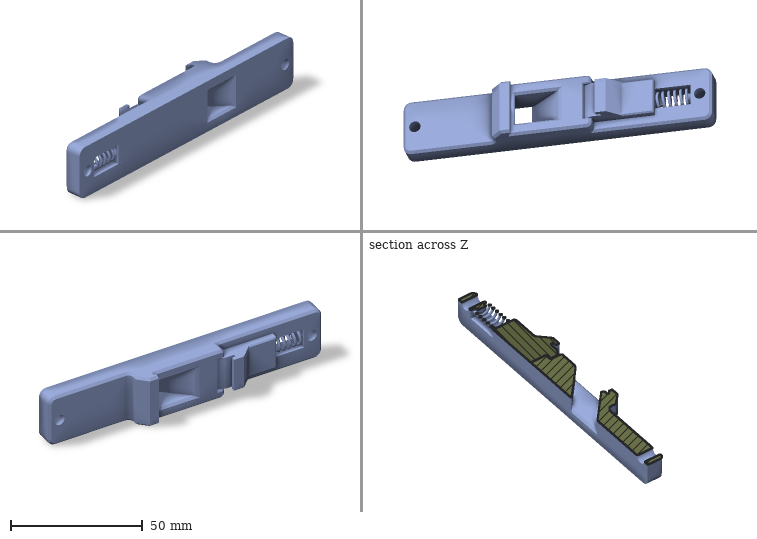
import cadquery as cq
import math


length = 121.0
width = 22.0
base_depth = 7.5
block_depth = 12.6
hook_depth = 15.5
corner_radius = 3.0
edge_chamfer = 1.0
step_radius = 2.0
block_end_y = -14.5
screw_hole_diameter = 4.5
screw_hole_y = 55.9

hook_back_y = 24.6
hook_tip_y = 16.7
hook_slope_depth = 11.5
hook_wall_y = 17.8
hook_lip_depth = 13.1
hook_lip_bevel = 0.8

window_width = 12.2
window_top_y = 15.5
window_bottom_y = -1.7
window_slope = 48.5
window_round = 1.0
window_bevel_length = 1.5
window_bevel_depth = 0.55

slider_width = 14.2
slot_width = 14.6
slot_end_y = -11.5
slot_chamfer = 0.5
slot_end_bevel_depth = 0.8
nose_y = -11.6
nose_depth = 11.3
slider_front_y = -14.9
slider_hook_tip_y = -16.7
slider_hook_wall_y = -18.4
slider_hook_lip_depth = 13.7
slider_hook_bevel = 0.4
slider_hook_back_y = -21.0
pad_depth = 10.5
pad_end_y = -38.5
pad_chamfer = 0.55

channel_width = 8.3
channel_end_y = -52.4
spring_center_depth = 4.2
spring_outer_diameter = 8.0
wire_diameter = 1.1
spring_near_y = -38.6
spring_far_y = -51.3
active_turns = 5
end_turns = 0.5
points_per_turn = 16
peg_diameter = 4.0
peg_length = 1.5


def prism(points, height):
    """Extrude an outline of (depth, y) points symmetrically about Z = 0."""
    outline = [(-depth, y) for depth, y in points]
    return cq.Workplane("XY").polyline(outline).close().extrude(height / 2, both=True)


def box(depth_from, depth_to, y_from, y_to, height):
    """Block between two depths and two Y positions, symmetric about Z = 0."""
    corners = [(depth_from, y_from), (depth_to, y_from), (depth_to, y_to), (depth_from, y_to)]
    return prism(corners, height)


def housing_blank():
    """Base bar, raised block and fixed hook, with rounded corners and chamfered front edges."""
    hook_rise = hook_depth - hook_slope_depth
    body = prism(
        [
            (0, length / 2),
            (base_depth, length / 2),
            (base_depth, hook_back_y),
            (hook_slope_depth, hook_back_y),
            (hook_depth, hook_back_y - hook_rise),
            (hook_depth, hook_tip_y),
            (hook_lip_depth + hook_lip_bevel, hook_tip_y),
            (hook_lip_depth, hook_wall_y),
            (block_depth, hook_wall_y),
            (block_depth, block_end_y),
            (base_depth, block_end_y),
            (base_depth, -length / 2),
            (0, -length / 2),
        ],
        width,
    )
    inner_corner = cq.selectors.NearestToPointSelector((-base_depth, hook_back_y, 0))
    body = body.edges(inner_corner).fillet(step_radius)
    body = body.faces("<Y or >Y").edges("|X").fillet(corner_radius)
    end_corner_depth = (base_depth + block_depth) / 2
    for side in (1, -1):
        end_corner = cq.selectors.NearestToPointSelector((-end_corner_depth, block_end_y, side * width / 2))
        body = body.edges(end_corner).fillet(step_radius)
    return body


def is_chamfered(edge):
    """Tell whether a housing edge borders the front outline, apart from the hook underside."""
    middle = edge.Center()
    tolerance = 0.001
    if edge.BoundingBox().zlen < tolerance and abs(middle.z) > width / 2 - tolerance:
        under_hook = hook_tip_y - tolerance < middle.y < hook_wall_y + tolerance
        return middle.x < -base_depth + tolerance and not under_hook
    on_base_end = abs(middle.x + base_depth) < tolerance and abs(middle.y) > length / 2 - corner_radius
    on_block_end = abs(middle.x + block_depth) < tolerance and middle.y < 0
    return on_base_end or on_block_end


def flared_prism(inner_width, flare):
    """Cutter running along Y from back to block front, its two sides opening at the front."""
    inner = inner_width / 2
    outer = inner + flare
    section = [
        (0, -inner),
        (flare - block_depth, -inner),
        (-block_depth, -outer),
        (-block_depth, outer),
        (flare - block_depth, inner),
        (0, inner),
    ]
    return cq.Workplane("XZ").polyline(section).close().extrude(length / 2, both=True)


def window():
    """Opening that slants toward +Y at the back, rounded at its +Y rim and beveled at its -Y rim."""
    slope = math.radians(window_slope)
    bevel_depth = block_depth - window_bevel_depth
    bottom_back_y = window_bottom_y + bevel_depth * math.tan(slope)

    round_depth = block_depth - window_round
    round_y = window_top_y + window_round
    wall_depth = round_depth - window_round * math.sin(slope)
    wall_y = round_y - window_round * math.cos(slope)
    top_back_y = wall_y + wall_depth * math.tan(slope)

    outline = (
        cq.Workplane("XY")
        .moveTo(0, bottom_back_y)
        .lineTo(-bevel_depth, window_bottom_y)
        .lineTo(-block_depth, window_bottom_y - window_bevel_length)
        .lineTo(-block_depth, round_y)
        .threePointArc((-round_depth, window_top_y), (-wall_depth, wall_y))
        .lineTo(0, top_back_y)
        .close()
    )
    channel = outline.extrude(width / 2, both=True)

    front_flared = flared_prism(window_width, edge_chamfer)
    back_flared = front_flared.rotate((-block_depth / 2, 0, 0), (-block_depth / 2, 0, 1), 180)
    return channel.intersect(front_flared.union(back_flared))


def nose_slot():
    """Pocket in the block end for the slider nose, chamfered around its mouth."""
    outline = prism(
        [
            (base_depth, block_end_y),
            (block_depth, block_end_y),
            (block_depth, slot_end_y + slot_chamfer),
            (block_depth - slot_end_bevel_depth, slot_end_y),
            (base_depth, slot_end_y),
        ],
        width,
    )
    return outline.intersect(flared_prism(slot_width, slot_chamfer))


def make_housing():
    blank = housing_blank()
    edges = [edge for edge in blank.edges().vals() if is_chamfered(edge)]
    body = blank.newObject(edges).chamfer(edge_chamfer)

    screw_holes = (
        cq.Workplane("YZ")
        .pushPoints([(screw_hole_y, 0), (-screw_hole_y, 0)])
        .circle(screw_hole_diameter / 2)
        .extrude(-base_depth)
    )
    spring_channel = box(0, base_depth, channel_end_y, block_end_y, channel_width)
    peg = (
        cq.Workplane("XZ", origin=(-spring_center_depth, channel_end_y, 0))
        .circle(peg_diameter / 2)
        .extrude(-peg_length)
    )
    return body.cut(window()).cut(screw_holes).cut(nose_slot()).cut(spring_channel).union(peg)


def make_slider():
    """Sliding hook on the base front, with a thumb pad and a tongue in the spring channel."""
    slope_end_y = slider_hook_back_y - (hook_depth - pad_depth)
    body = prism(
        [
            (base_depth, nose_y),
            (nose_depth, nose_y),
            (block_depth, slider_front_y),
            (block_depth, slider_hook_wall_y),
            (slider_hook_lip_depth, slider_hook_wall_y),
            (slider_hook_lip_depth, slider_hook_tip_y - slider_hook_bevel),
            (slider_hook_lip_depth + slider_hook_bevel, slider_hook_tip_y),
            (hook_depth, slider_hook_tip_y),
            (hook_depth, slider_hook_back_y),
            (pad_depth, slope_end_y),
            (pad_depth, pad_end_y),
            (base_depth, pad_end_y),
        ],
        slider_width,
    )
    pad_center = (-pad_depth, (slope_end_y + pad_end_y) / 2, 0)
    pad_face = body.faces(cq.selectors.NearestToPointSelector(pad_center))
    body = pad_face.edges("|Y or <Y").chamfer(pad_chamfer)
    tongue = box(0, base_depth, pad_end_y, block_end_y, channel_width)
    return body.union(tongue)


def spring_point(turn):
    """Point of the wire center line: the end turns are flat and the active turns advance evenly."""
    start_y = spring_near_y - wire_diameter / 2
    end_y = spring_far_y + wire_diameter / 2
    coil_radius = (spring_outer_diameter - wire_diameter) / 2
    travel = min(max(turn / active_turns, 0), 1)
    angle = 2 * math.pi * turn
    return (
        -spring_center_depth - coil_radius * math.cos(angle),
        start_y + (end_y - start_y) * travel,
        -coil_radius * math.sin(angle),
    )


def make_spring():
    steps = round((active_turns + 2 * end_turns) * points_per_turn)
    turns = [step / points_per_turn - end_turns for step in range(steps + 1)]
    path = cq.Workplane("XY").spline([spring_point(turn) for turn in turns])
    start = path.val().positionAt(0)
    direction = path.val().tangentAt(0)
    section = cq.Workplane(cq.Plane(origin=start, normal=direction)).circle(wire_diameter / 2)
    return section.sweep(path, isFrenet=True)


housing = make_housing()
slider = make_slider()
spring = make_spring()
result = cq.Compound.makeCompound([housing.solids().val(), slider.solids().val(), spring.solids().val()])